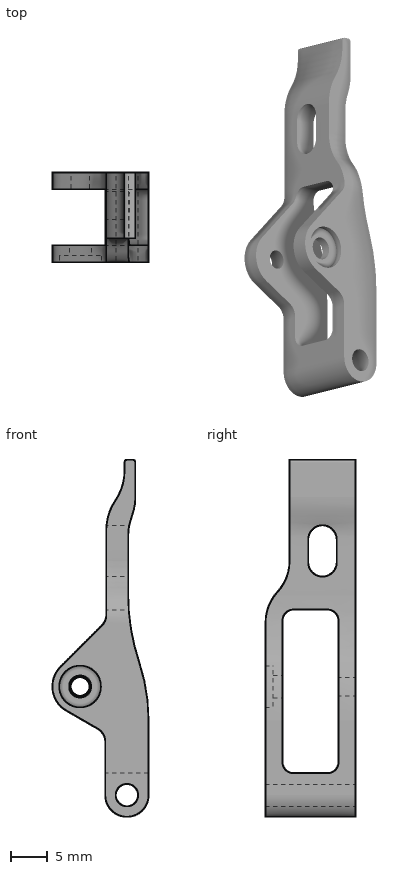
import cadquery as cq
import math

height = 48.8
width = 12.3
back_x = 13.2

arm_width = 5.95
arm_end_radius = arm_width / 2
arm_front_x = back_x - arm_width
arm_center_x = back_x - arm_end_radius
arm_hole_diameter = 3.05

pivot_radius = 3.8
pivot_x = pivot_radius
pivot_z = 17.8
upper_slope = 45.0
lower_slope = 30.0
ear_fillet = 2.0
ear_thickness = 2.35
near_bore_diameter = 3.05
far_bore_diameter = 2.55
counterbore_diameter = 5.7
counterbore_depth = 1.0

neck_front_x = 7.35
neck_back_x = 10.4
tip_front_x = 9.85
tip_back_x = 11.35
front_bend_start_z = 39.2
front_bend_end_z = 47.3
back_bend_start_z = 38.45
back_bend_end_z = 43.7
back_sweep_start_z = 13.2
back_sweep_end_z = 30.25
back_sweep_inflection = 0.47
tip_fillet = 0.4

lever_width = 9.05
lever_side_y = width - lever_width
shoulder_bottom_z = 26.55
shoulder_top_z = 34.95
cut_margin = 0.5

window_bottom_z = 6.0
window_top_z = 28.3
window_corner_radius = 1.45
slot_width = 3.85
slot_bottom_z = 32.85
slot_top_z = 39.85


def s_bend(sketch, start, end, inflection=0.5):
    """Add two tangent arcs that are vertical at both ends of the bend."""
    dx = end[0] - start[0]
    dz = end[1] - start[1]
    middle = (start[0] + inflection * dx, start[1] + inflection * dz)
    return (
        sketch.lineTo(*start)
        .tangentArcPoint(middle, relative=False)
        .tangentArcPoint(end, relative=False)
    )


def pivot_point(degrees):
    """Return a point on the ear rim at an angle from the +X direction."""
    angle = math.radians(degrees)
    return (pivot_x + pivot_radius * math.cos(angle), pivot_z + pivot_radius * math.sin(angle))


def side_body():
    """Extrude the side outline over the full width."""
    upper_tangent = pivot_point(90 + upper_slope)
    lower_tangent = pivot_point(270 - lower_slope)
    upper_run = neck_front_x - upper_tangent[0]
    lower_run = arm_front_x - lower_tangent[0]
    knee_z = upper_tangent[1] + upper_run * math.tan(math.radians(upper_slope))
    crook_z = lower_tangent[1] - lower_run * math.tan(math.radians(lower_slope))

    outline = cq.Workplane("XZ").moveTo(back_x, arm_end_radius)
    outline = s_bend(
        outline,
        (back_x, back_sweep_start_z),
        (neck_back_x, back_sweep_end_z),
        back_sweep_inflection,
    )
    outline = s_bend(outline, (neck_back_x, back_bend_start_z), (tip_back_x, back_bend_end_z))
    outline = outline.lineTo(tip_back_x, height).lineTo(tip_front_x, height)
    outline = s_bend(outline, (tip_front_x, front_bend_end_z), (neck_front_x, front_bend_start_z))
    outline = (
        outline.lineTo(neck_front_x, knee_z)
        .lineTo(*upper_tangent)
        .threePointArc(pivot_point(180), lower_tangent)
        .lineTo(arm_front_x, crook_z)
        .lineTo(arm_front_x, arm_end_radius)
        .threePointArc((arm_center_x, 0), (back_x, arm_end_radius))
        .close()
    )
    body = outline.extrude(-width)
    for x, z in ((neck_front_x, knee_z), (arm_front_x, crook_z)):
        body = body.edges(cq.selectors.NearestToPointSelector((x, width / 2, z))).fillet(ear_fillet)
    return body.faces(">Z").edges("|Y").fillet(tip_fillet)


def side_relief():
    """Material to remove beside the narrow upper lever."""
    sketch = cq.Workplane("YZ").moveTo(0, shoulder_bottom_z - cut_margin)
    sketch = s_bend(sketch, (0, shoulder_bottom_z), (lever_side_y, shoulder_top_z))
    outside_y = -cut_margin
    return (
        sketch.lineTo(lever_side_y, height + cut_margin)
        .lineTo(outside_y, height + cut_margin)
        .lineTo(outside_y, shoulder_bottom_z - cut_margin)
        .close()
        .extrude(back_x)
    )


def window():
    """Rounded opening that separates the two ears."""
    return (
        cq.Workplane("YZ")
        .center(width / 2, (window_bottom_z + window_top_z) / 2)
        .rect(width - 2 * ear_thickness, window_top_z - window_bottom_z)
        .extrude(back_x)
        .edges("|X")
        .fillet(window_corner_radius)
    )


def slot():
    """Upright slot centred across the narrow lever."""
    return (
        cq.Workplane("YZ")
        .center(lever_side_y + lever_width / 2, (slot_bottom_z + slot_top_z) / 2)
        .slot2D(slot_top_z - slot_bottom_z, slot_width, 90)
        .extrude(back_x)
    )


def cross_bore(x, z, diameter, start_y, length):
    """Cylinder along +Y."""
    return cq.Workplane("XZ", origin=(x, start_y, z)).circle(diameter / 2).extrude(-length)


result = (
    side_body()
    .cut(side_relief())
    .cut(window())
    .cut(slot())
    .cut(cross_bore(arm_center_x, arm_end_radius, arm_hole_diameter, 0, width))
    .cut(cross_bore(pivot_x, pivot_z, counterbore_diameter, 0, counterbore_depth))
    .cut(cross_bore(pivot_x, pivot_z, near_bore_diameter, 0, width / 2))
    .cut(cross_bore(pivot_x, pivot_z, far_bore_diameter, width / 2, width / 2))
)